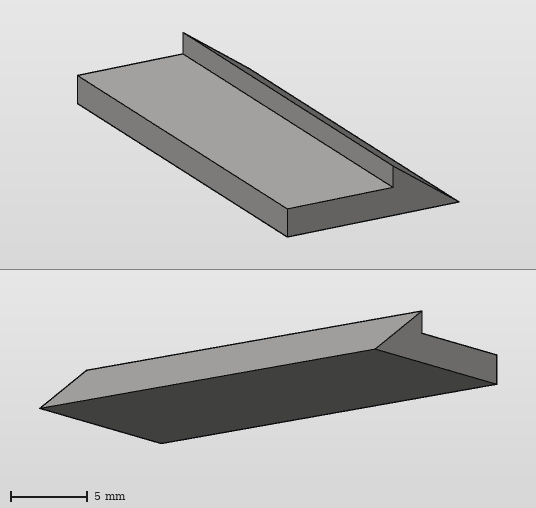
import cadquery as cq

length = 28.0
depth = 13.0
height = 3.5
plate_thickness = 2.0
wedge_depth = 5.0

front_y = -depth / 2
back_y = depth / 2
ridge_y = back_y - wedge_depth

profile = [
    (front_y, 0),
    (back_y, 0),
    (ridge_y, height),
    (ridge_y, plate_thickness),
    (front_y, plate_thickness),
]

result = cq.Workplane("YZ").polyline(profile).close().extrude(length / 2, both=True)